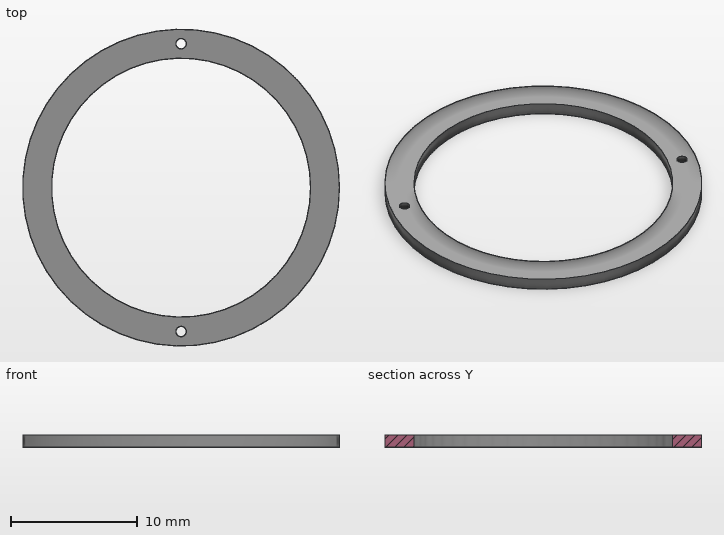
import cadquery as cq

outer_diameter = 25.0
inner_diameter = 20.4
thickness = 1.0

hole_diameter = 0.8
hole_circle_radius = (outer_diameter + inner_diameter) / 4

ring = (
    cq.Workplane("XY")
    .circle(outer_diameter / 2)
    .circle(inner_diameter / 2)
    .extrude(thickness)
)

pin_holes = (
    cq.Workplane("XY")
    .pushPoints([(0, hole_circle_radius), (0, -hole_circle_radius)])
    .circle(hole_diameter / 2)
    .extrude(thickness)
)

result = ring.cut(pin_holes)